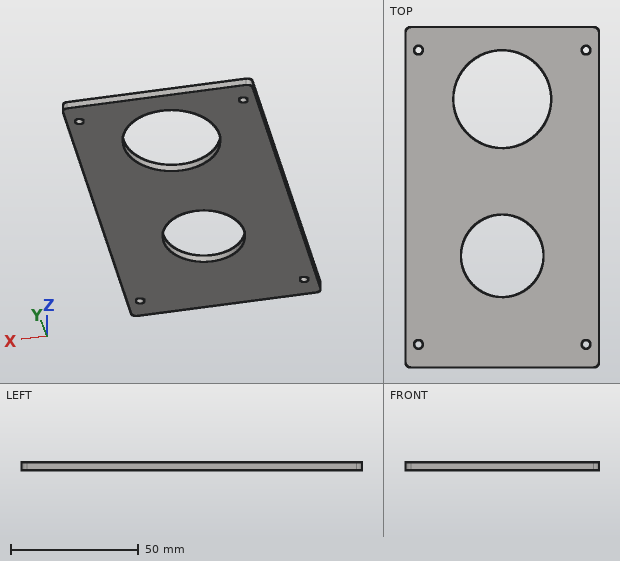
import cadquery as cq

width = 76.1
length = 133.8
thickness = 3.2
corner_radius = 2.1

mount_diameter = 3.3
mount_spacing_x = 65.8
mount_spacing_y = 115.6

upper_diameter = 38.4
upper_y = 38.5
lower_diameter = 32.4
lower_y = -23.0


def rounded_plate():
    plate = cq.Workplane("XY").box(width, length, thickness)
    return plate.edges("|Z").fillet(corner_radius)


def drill(body, points, diameter):
    """Cut through holes of one diameter, centred on the given points."""
    return body.faces(">Z").workplane(origin=(0, 0, 0)).pushPoints(points).hole(diameter)


mount_points = [
    (side_x * mount_spacing_x / 2, side_y * mount_spacing_y / 2)
    for side_x in (-1, 1)
    for side_y in (-1, 1)
]

result = rounded_plate()
result = drill(result, mount_points, mount_diameter)
result = drill(result, [(0, upper_y)], upper_diameter)
result = drill(result, [(0, lower_y)], lower_diameter)